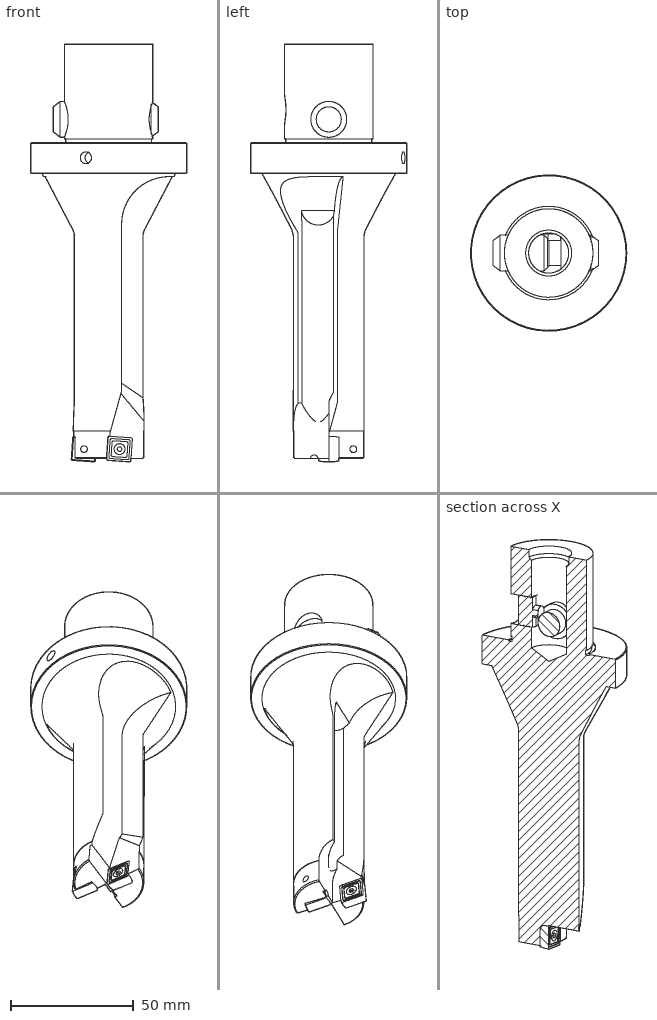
import cadquery as cq
import math

LARGE = 102.0

overall_length = 170.0

shank_radius = 18.0
shank_top = 40.1
undercut_radius = 17.5
undercut_height = 1.5
face_groove_radius = 19.0
face_groove_depth = 0.5

flange_radius = 31.8
flange_thickness = 12.5
flange_chamfer = 0.3

cone_radius = 27.2
cone_height = 24.0
body_radius = 14.5
body_fillet = 5.1
tip_radius = 14.3
tip_step_z = -117.3
body_bottom = -128.5
tip_chamfer = 0.5

mouth_radius = 9.3
mouth_depth = 3.2
bore_radius = 8.2
bore_bottom = -1.7
bore_cone_height = 4.5

flange_hole_radius = 2.4
flange_hole_depth = 6.8
flange_hole_z = -6.1
flange_hole_angle = 253.0

pin_z = 9.5
pin_radius = 7.3
pin_end_radius = 5.1
pin_left_end = -22.6
pin_left_shoulder = -19.7
pin_right_shoulder = 17.2
pin_right_end = 20.2
neck_radius = 5.1
neck_left = -0.5
neck_right = 5.0
neck_chamfer = 1.4
neck_root_chamfer = 0.7

retainer_x = (neck_left + neck_right) / 2
retainer_z = 13.5
retainer_radius = 6.6
retainer_outer_y = 14.5
retainer_inner_y = 7.6
retainer_tip_radius = 2.5

rake_offset = 0.7
rake_slope = 0.2
ramp_x = 5.1
ramp_slope_x = -1.2
runout_radius = 19.4
runout_center_z = -33.1
inner_ramp_z = -102.2
inner_ramp_slope_y = 2.6
inner_wall_x = 5.3
inner_taper_top = -101.0
inner_tip_x = 0.5
inner_tip_z = -118.1
outer_ramp_z = -107.3
outer_ramp_slope_y = 3.5
outer_wall_x = 7.3
outer_step_z = -105.9
outer_tip_x = 1.7
outer_tip_z = -117.6

gutter_x = 9.2
gutter_y = -4.2
gutter_radius = 7.0
gutter_top = -28.4

notch_y = 6.0
notch_radius = 1.5
notch_depth = 1.0

insert_side = 9.9
insert_thickness = 4.0
insert_corner = 0.7
insert_relief = 10.0
insert_tilt = 4.0
inner_insert_x = 4.5
outer_insert_x = -10.0
tilt_angle = math.radians(insert_tilt)
corner_reach = insert_side / 2 - insert_corner
corner_drop = corner_reach * (math.cos(tilt_angle) + math.sin(tilt_angle)) + insert_corner
insert_z = shank_top - overall_length + corner_drop
groove_margin = 0.8
groove_width = 0.8
groove_depth = 0.3
pocket_clearance = 0.2
screw_head_radius = 2.2
screw_head_height = 1.2
screw_radius = 1.4
screw_length = 7.6
screw_socket_radius = 1.0
screw_socket_depth = 1.0


def half_turn(shape):
    return shape.rotate((0, 0, 0), (0, 0, 1), 180)


def make_turned_blank():
    profile = (
        cq.Workplane("XZ")
        .moveTo(0, shank_top)
        .lineTo(shank_radius, shank_top)
        .lineTo(shank_radius, undercut_height)
        .lineTo(undercut_radius, undercut_height)
        .lineTo(undercut_radius, -face_groove_depth)
        .lineTo(face_groove_radius, -face_groove_depth)
        .lineTo(face_groove_radius, 0)
        .lineTo(flange_radius - flange_chamfer, 0)
        .lineTo(flange_radius, -flange_chamfer)
        .lineTo(flange_radius, flange_chamfer - flange_thickness)
        .lineTo(flange_radius - flange_chamfer, -flange_thickness)
        .lineTo(cone_radius, -flange_thickness)
        .lineTo(body_radius, -flange_thickness - cone_height)
        .lineTo(body_radius, tip_step_z)
        .lineTo(tip_radius, tip_step_z)
        .lineTo(tip_radius, body_bottom + tip_chamfer)
        .lineTo(tip_radius - tip_chamfer, body_bottom)
        .lineTo(0, body_bottom)
        .close()
    )
    blank = profile.revolve(360, (0, 0, 0), (0, 1, 0))
    cone_foot_z = -flange_thickness - cone_height
    foot_edge = cq.selectors.BoxSelector(
        (-body_radius * 2, -body_radius * 2, cone_foot_z - 0.2),
        (body_radius * 2, body_radius * 2, cone_foot_z + 0.2),
    )
    return blank.edges(foot_edge).fillet(body_fillet)


def make_coolant_bore():
    mouth_bottom = shank_top - mouth_depth
    profile = (
        cq.Workplane("XZ")
        .moveTo(0, shank_top)
        .lineTo(mouth_radius, shank_top)
        .lineTo(mouth_radius, mouth_bottom)
        .lineTo(bore_radius, mouth_bottom - (mouth_radius - bore_radius))
        .lineTo(bore_radius, bore_bottom)
        .lineTo(0, bore_bottom - bore_cone_height)
        .close()
    )
    return profile.revolve(360, (0, 0, 0), (0, 1, 0))


def make_flange_hole():
    angle = math.radians(flange_hole_angle)
    outward = cq.Vector(math.cos(angle), math.sin(angle), 0)
    start = outward * (flange_radius - flange_hole_depth) + cq.Vector(0, 0, flange_hole_z)
    return cq.Workplane(cq.Solid.makeCylinder(flange_hole_radius, 2 * flange_hole_depth, start, outward))


def make_rake_limit(ramp_z, ramp_slope_y):
    """Space in front of the rake face: flat at y = 0 near the tip, deeper above a sloping ramp."""
    flat_side = cq.Workplane("XY").box(2 * LARGE, LARGE, 4 * LARGE).translate((0, -LARGE / 2, 0))
    slanted = cq.Plane((0, rake_offset, 0), (0, 0, 1), (rake_slope, -1, 0))
    slanted_side = cq.Workplane(slanted).rect(4 * LARGE, 2 * LARGE).extrude(LARGE)
    ramp = cq.Plane((ramp_x, 0, ramp_z), (1, 0, ramp_slope_x), (-ramp_slope_x, -ramp_slope_y, 1))
    above_ramp = cq.Workplane(ramp).rect(4 * LARGE, 4 * LARGE).extrude(2 * LARGE)
    return flat_side.union(slanted_side.intersect(above_ramp))


def start_flute_outline(wall_x):
    """Begin a flute outline: the runout arc from the flange end down to the straight wall."""
    diagonal = runout_radius * math.sqrt(0.5)
    center_x = wall_x + runout_radius
    return (
        cq.Workplane("XZ", origin=(0, LARGE / 2, 0))
        .moveTo(LARGE, runout_center_z + runout_radius)
        .lineTo(center_x, runout_center_z + runout_radius)
        .threePointArc((center_x - diagonal, runout_center_z + diagonal), (wall_x, runout_center_z))
    )


def finish_flute(outline, last_x):
    floor_z = body_bottom - 1.7
    return outline.lineTo(last_x, floor_z).lineTo(LARGE, floor_z).close().extrude(LARGE)


def make_inner_flute():
    outline = (
        start_flute_outline(inner_wall_x)
        .lineTo(inner_wall_x, inner_taper_top)
        .lineTo(inner_tip_x, inner_tip_z)
    )
    return finish_flute(outline, inner_tip_x).intersect(make_rake_limit(inner_ramp_z, inner_ramp_slope_y))


def make_gutter():
    gutter = (
        cq.Workplane("XY", origin=(gutter_x, gutter_y, outer_tip_z))
        .circle(gutter_radius)
        .extrude(gutter_top + gutter_radius - outer_tip_z)
    )
    end_plane = cq.Plane((outer_wall_x, 0, gutter_top), (0, 1, 0), (1, 0, -1))
    return gutter.intersect(cq.Workplane(end_plane).rect(4 * LARGE, 4 * LARGE).extrude(2 * LARGE))


def make_outer_flute():
    step_depth = outer_wall_x - outer_tip_x
    step_height = outer_step_z - outer_tip_z
    step_radius = (step_depth**2 + step_height**2) / (2 * step_depth)
    half_angle = math.asin(step_height / step_radius) / 2
    middle = (
        outer_tip_x + step_radius * (1 - math.cos(half_angle)),
        outer_tip_z + step_radius * math.sin(half_angle),
    )
    outline = (
        start_flute_outline(outer_wall_x)
        .lineTo(outer_wall_x, outer_step_z)
        .threePointArc(middle, (outer_tip_x, outer_tip_z))
    )
    flute = finish_flute(outline, outer_tip_x).union(make_gutter())
    return half_turn(flute.intersect(make_rake_limit(outer_ramp_z, outer_ramp_slope_y)))


def make_tip_notch():
    plane = cq.Workplane("YZ", origin=(notch_depth - outer_tip_x, notch_y, body_bottom))
    return plane.circle(notch_radius).extrude(-2 * notch_depth)


def make_pin():
    profile = (
        cq.Workplane("XZ", origin=(0, 0, pin_z))
        .moveTo(pin_left_end, 0)
        .lineTo(pin_left_end, pin_end_radius)
        .lineTo(pin_left_shoulder, pin_radius)
        .lineTo(neck_left - neck_chamfer, pin_radius)
        .lineTo(neck_left, pin_radius - neck_chamfer)
        .lineTo(neck_left, neck_radius + neck_root_chamfer)
        .lineTo(neck_left + neck_root_chamfer, neck_radius)
        .lineTo(neck_right, neck_radius)
        .lineTo(neck_right, pin_radius)
        .lineTo(pin_right_shoulder, pin_radius)
        .lineTo(pin_right_end, pin_end_radius)
        .lineTo(pin_right_end, 0)
        .close()
    )
    return profile.revolve(360, (0, 0, 0), (1, 0, 0))


def make_pin_hole():
    return cq.Workplane("YZ", origin=(0, 0, pin_z)).circle(pin_radius).extrude(shank_radius * 2, both=True)


def retainer_cylinder(radius, inner_y, outer_y):
    plane = cq.Workplane("XZ", origin=(retainer_x, inner_y, retainer_z))
    return plane.circle(radius).extrude(inner_y - outer_y)


def make_stepped_retainer(outer_y):
    """Screw body up to outer_y, with its narrow tip reaching the neck of the pin."""
    body = retainer_cylinder(retainer_radius, retainer_inner_y, outer_y)
    return body.union(retainer_cylinder(retainer_tip_radius, neck_radius, retainer_inner_y))


def make_retainer():
    return make_stepped_retainer(retainer_outer_y)


def make_retainer_hole():
    return make_stepped_retainer(shank_radius + 1.7)


def square_prism(side, depth, taper=0.0):
    """Rounded square from y = 0 toward +Y, centred on the Y axis."""
    sketch = cq.Sketch().rect(side, side).vertices().fillet(insert_corner)
    return cq.Workplane("XZ").placeSketch(sketch).extrude(-depth, taper=taper)


def make_insert_outline():
    land = square_prism(insert_side, insert_thickness / 2)
    relief = square_prism(insert_side, insert_thickness / 2, insert_relief)
    return land.union(relief.translate((0, insert_thickness / 2, 0)))


def make_screw_outline():
    profile = (
        cq.Workplane("XY")
        .lineTo(screw_head_radius, 0)
        .lineTo(screw_radius, screw_head_height)
        .lineTo(screw_radius, screw_length)
        .lineTo(0, screw_length)
        .close()
    )
    return profile.revolve(360, (0, 0, 0), (0, 1, 0))


def make_insert():
    groove_side = insert_side - 2 * groove_margin
    island_side = groove_side - 2 * groove_width
    groove = square_prism(groove_side, groove_depth).cut(
        square_prism(island_side, groove_depth)
    )
    return make_insert_outline().cut(groove).cut(make_screw_outline())


def make_screw():
    socket = cq.Workplane("XZ").polygon(6, 2 * screw_socket_radius).extrude(-screw_socket_depth)
    return make_screw_outline().cut(socket)


def make_insert_pocket():
    """Seat for the insert and its screw, open in front of the rake face and through at the back."""
    opening_side = insert_side + 2 * pocket_clearance
    opening = square_prism(opening_side, LARGE).translate((0, -LARGE, 0))
    screw_hole = cq.Workplane("XZ").circle(screw_radius).extrude(-LARGE)
    return make_insert_outline().union(opening).union(screw_hole)


def place_inner(shape):
    return shape.rotate((0, 0, 0), (0, 1, 0), insert_tilt).translate((inner_insert_x, 0, insert_z))


def place_outer(shape):
    turned = half_turn(shape).rotate((0, 0, 0), (0, 1, 0), insert_tilt)
    return turned.translate((outer_insert_x, 0, insert_z))


def make_housing():
    housing = (
        make_turned_blank()
        .cut(make_coolant_bore())
        .cut(make_flange_hole())
        .cut(make_pin_hole())
        .cut(make_retainer_hole())
        .cut(make_inner_flute())
        .cut(make_outer_flute())
        .cut(make_tip_notch())
    )
    for place in (place_inner, place_outer):
        housing = housing.cut(place(make_insert_pocket()))
    return housing


housing = make_housing()
pin = make_pin()
retainer = make_retainer()
inserts = []
screws = []
for place in (place_inner, place_outer):
    inserts.append(place(make_insert()).val())
    screws.append(place(make_screw()).val())

result = cq.Compound.makeCompound([housing.val(), pin.val(), retainer.val(), *inserts, *screws])